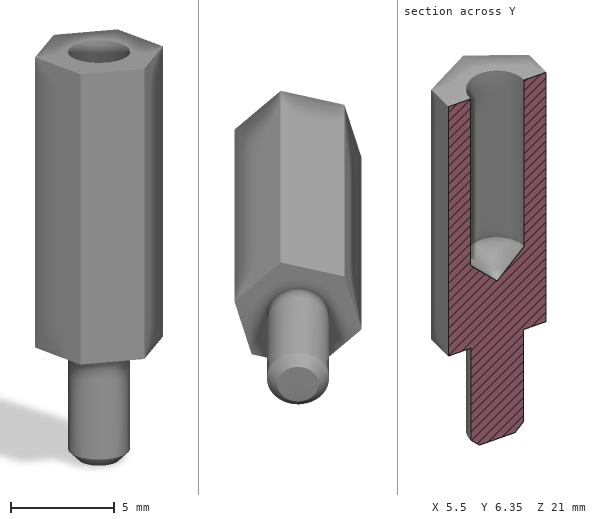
import cadquery as cq
import math

total_length = 21.0
stud_length = 6.0
body_length = total_length - stud_length
across_flats = 5.5
across_corners = across_flats / math.cos(math.radians(30))
thread_diameter = 3.0
thread_radius = thread_diameter / 2
stud_chamfer = 0.5
hole_depth = 10.0
drill_point_angle = 90.0
drill_point_depth = thread_radius / math.tan(math.radians(drill_point_angle / 2))


def make_body():
    """Hexagonal prism standing on Z = 0, with corners on the Y axis."""
    prism = cq.Workplane("XY").polygon(6, across_corners).extrude(body_length)
    return prism.rotate((0, 0, 0), (0, 0, 1), 90)


def make_stud():
    """Round stud hanging below the body, chamfered at its free end."""
    stud = cq.Workplane("XY").circle(thread_radius).extrude(-stud_length)
    return stud.faces("<Z").chamfer(stud_chamfer)


def make_drilled_hole():
    """Cylinder with a conical drill point, revolved about the Z axis."""
    shoulder_z = body_length - hole_depth
    return (
        cq.Workplane("XZ")
        .moveTo(0, body_length)
        .lineTo(thread_radius, body_length)
        .lineTo(thread_radius, shoulder_z)
        .lineTo(0, shoulder_z - drill_point_depth)
        .close()
        .revolve(360, (0, 0, 0), (0, 1, 0))
    )


result = make_body().union(make_stud()).cut(make_drilled_hole())